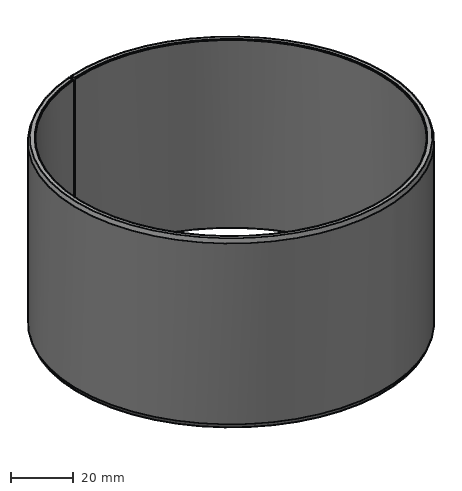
import cadquery as cq

outer_diameter = 130.0
length = 70.0
wall = 2.5
outer_chamfer_length = 1.5
outer_chamfer_depth = 0.6
inner_chamfer = 0.32
gap_width = 1.0

outer_radius = outer_diameter / 2
inner_radius = outer_radius - wall
half_length = length / 2


def make_sleeve():
    """Revolve the wall section, chamfered at all four corners, about Z."""
    rim_outer_radius = outer_radius - outer_chamfer_depth
    rim_inner_radius = inner_radius + inner_chamfer
    outer_wall_top = half_length - outer_chamfer_length
    inner_wall_top = half_length - inner_chamfer
    section = (
        cq.Workplane("XZ")
        .moveTo(inner_radius, -inner_wall_top)
        .lineTo(rim_inner_radius, -half_length)
        .lineTo(rim_outer_radius, -half_length)
        .lineTo(outer_radius, -outer_wall_top)
        .lineTo(outer_radius, outer_wall_top)
        .lineTo(rim_outer_radius, half_length)
        .lineTo(rim_inner_radius, half_length)
        .lineTo(inner_radius, inner_wall_top)
        .close()
    )
    return section.revolve(360, (0, 0, 0), (0, 1, 0))


def make_gap():
    """Slot through the -X wall, with one face on the XZ plane."""
    return cq.Workplane("XY").box(
        outer_radius, gap_width, length, centered=(False, False, True)
    ).translate((-outer_radius, 0, 0))


result = make_sleeve().cut(make_gap())